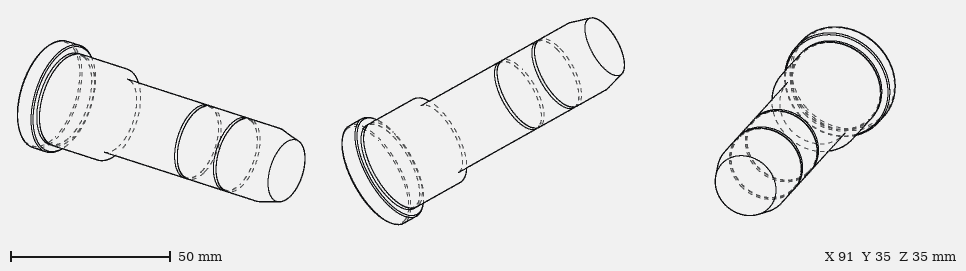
import cadquery as cq
import math

length = 91.0
head_diameter = 35.0
head_length = 6.0
head_chamfer = 0.5

collar_diameter = 30.0
collar_end = 25.0
collar_edge_radius = 0.7

shank_diameter = 24.0
shank_root_radius = 0.55

taper_length = 7.0
taper_angle = 15.0

groove_width = 1.0
groove_depth = 0.4
shank_groove_starts = (56.6, 71.4)


def cylinder(diameter, start, end):
    """Solid cylinder along X between two stations."""
    return cq.Workplane("YZ").workplane(offset=start).circle(diameter / 2).extrude(end - start)


def groove(diameter, start):
    """Ring with an arc-shaped section that cuts a groove into a cylinder."""
    radius = diameter / 2
    clear_radius = radius + groove_depth
    end = start + groove_width
    return (
        cq.Workplane("XY")
        .moveTo(start, clear_radius)
        .lineTo(start, radius)
        .threePointArc((start + groove_width / 2, radius - groove_depth), (end, radius))
        .lineTo(end, clear_radius)
        .close()
        .revolve(360, (0, 0, 0), (1, 0, 0))
    )


def shank_root_fillet():
    """Ring that blends the shank into the end face of the collar."""
    radius = shank_diameter / 2
    arc_offset = shank_root_radius * (1 - math.sqrt(0.5))
    return (
        cq.Workplane("XY")
        .moveTo(collar_end, radius)
        .lineTo(collar_end, radius + shank_root_radius)
        .threePointArc(
            (collar_end + arc_offset, radius + arc_offset),
            (collar_end + shank_root_radius, radius),
        )
        .close()
        .revolve(360, (0, 0, 0), (1, 0, 0))
    )


head = cylinder(head_diameter, 0, head_length).edges().chamfer(head_chamfer)
collar = cylinder(collar_diameter, head_length, collar_end).faces(">X").edges().fillet(collar_edge_radius)

taper_start = length - taper_length
taper_drop = taper_length * math.tan(math.radians(taper_angle))
shank = cylinder(shank_diameter, collar_end, taper_start)
tip = (
    cq.Workplane("YZ")
    .workplane(offset=taper_start)
    .circle(shank_diameter / 2)
    .workplane(offset=taper_length)
    .circle(shank_diameter / 2 - taper_drop)
    .loft()
)

result = head.union(collar).union(shank).union(shank_root_fillet()).union(tip)

result = result.cut(groove(collar_diameter, head_length))
for groove_start in shank_groove_starts:
    result = result.cut(groove(shank_diameter, groove_start))